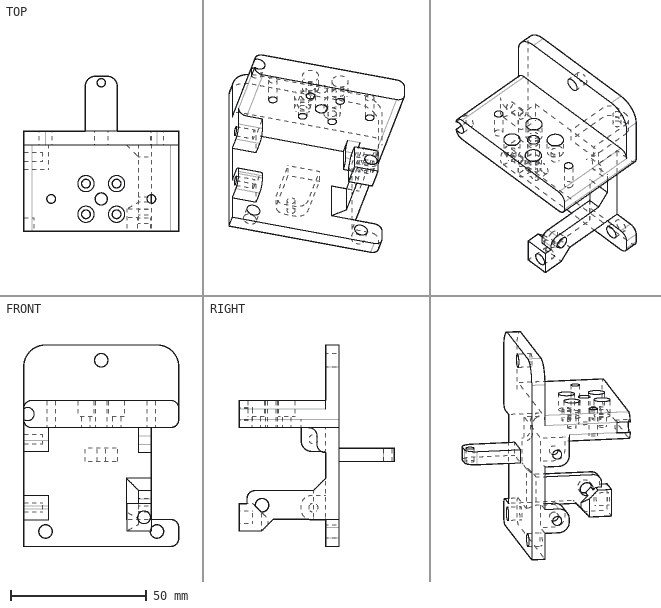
import cadquery as cq
import math


plate_width = 57.34
plate_height = 74.52
plate_thickness = 5.0
plate_front = -plate_thickness
plate_top_radius = 8.1
mount_hole_diameter = 4.9
mount_hole_inset = 8.1
mount_hole_height = 5.6
top_hole_drop = 5.7
center_x = plate_width / 2

neck_width = 47.2
foot_height = 10.1
edge_radius = 3.1

shelf_bottom = 43.9
shelf_thickness = 10.1
shelf_top = shelf_bottom + shelf_thickness
shelf_middle = shelf_bottom + shelf_thickness / 2
front_reach = 37.0
shelf_front = -front_reach
shelf_hole_front_distance = 12.0
shelf_hole_y = shelf_front + shelf_hole_front_distance
shelf_center_hole_diameter = 4.4
screw_circle_diameter = 16.0
screw_angle = math.radians(45)
screw_hole_diameter = 3.15
screw_head_diameter = 6.0
screw_head_depth = 6.0
side_hole_offset = 18.5
side_hole_diameter = 3.15

shelf_pocket_diameter = 4.9
shelf_pocket_x = 1.45
block_pocket_diameter = 4.7
block_pocket_edge_distance = 2.75
pocket_depth = 5.0

lug_size = 9.1
lug_reach = 9.1
lug_radius = 4.0
upper_lug_bottom = 35.1
lower_lug_bottom = 9.85
pin_hole_diameter = 3.35
pin_hole_depth = 7.0

arm_thickness = 4.75
arm_left = neck_width - arm_thickness
arm_bottom = foot_height
arm_top = 20.75
arm_front = -34.1
arm_hole_diameter = 4.9
arm_hole_y = -28.5
arm_hole_z = 15.3
gusset_size = 4.5

block_width = 9.1
block_length = 8.3
block_bottom = 5.75
block_top = 15.9
block_left = neck_width - block_width
block_back = shelf_front + block_length
block_top_length = 5.1
block_slope_top_y = shelf_front + block_top_length
block_taper_length = 2.45

stop_reach = 3.2
stop_bottom = 34.75
stop_radius = 3.0
quarter_arc_middle = math.radians(45)

tongue_width = 12.0
tongue_length = 20.4
tongue_thickness = 5.0
tongue_bottom = 31.4
tongue_radius = 4.0
tongue_hole_diameter = 3.0
tongue_hole_end_distance = 2.5


def box(x_low, x_high, y_low, y_high, z_low, z_high):
    """Box between the given limits."""
    size = (x_high - x_low, y_high - y_low, z_high - z_low)
    return cq.Workplane("XY").box(*size, centered=False).translate((x_low, y_low, z_low))


def cylinder(center, diameter, length, direction):
    """Cylinder of the given length that starts at center and runs along direction."""
    solid = cq.Solid.makeCylinder(diameter / 2, length, cq.Vector(*center), cq.Vector(*direction))
    return cq.Workplane(solid)


def side_profile(x_left):
    """Sketch plane parallel to YZ at x_left; local x is Y, local y is Z, extrusion runs toward +X."""
    return cq.Workplane("YZ", origin=(x_left, 0, 0))


def make_plate():
    """Plate of three stacked parts: full-width foot, narrower neck and full-width upper part."""
    foot = box(0, plate_width, plate_front, 0, 0, foot_height)
    foot = foot.edges("|Y and >X").fillet(edge_radius)
    neck = box(0, neck_width, plate_front, 0, foot_height, shelf_bottom)
    upper_part = box(0, plate_width, plate_front, 0, shelf_bottom, plate_height)
    upper_part = upper_part.edges("|Y and >X and <Z").fillet(edge_radius)
    upper_part = upper_part.edges("|Y and >Z").fillet(plate_top_radius)
    plate = foot.union(neck).union(upper_part)
    holes = (
        (mount_hole_inset, mount_hole_height),
        (plate_width - mount_hole_inset, mount_hole_height),
        (center_x, plate_height - top_hole_drop),
    )
    for x, z in holes:
        plate = plate.cut(cylinder((x, 0, z), mount_hole_diameter, plate_thickness, (0, -1, 0)))
    return plate


def make_shelf():
    shelf = box(0, plate_width, shelf_front, plate_front, shelf_bottom, shelf_top)
    return shelf.edges("|Y").fillet(edge_radius)


def cut_shelf_holes(body):
    """Center hole, two side holes and four counterbored screw holes, all drilled from the shelf's top."""
    def drill(target, x, y, diameter, depth):
        return target.cut(cylinder((x, y, shelf_top), diameter, depth, (0, 0, -1)))

    body = drill(body, center_x, shelf_hole_y, shelf_center_hole_diameter, shelf_thickness)
    for side in (-1, 1):
        x = center_x + side * side_hole_offset
        body = drill(body, x, shelf_hole_y, side_hole_diameter, shelf_thickness)
    screw_offset = screw_circle_diameter / 2 * math.cos(screw_angle)
    for x_side in (-1, 1):
        for y_side in (-1, 1):
            x = center_x + x_side * screw_offset
            y = shelf_hole_y + y_side * screw_offset
            body = drill(body, x, y, screw_hole_diameter, shelf_thickness)
            body = drill(body, x, y, screw_head_diameter, screw_head_depth)
    return body


def make_upper_lug():
    """Lug that hangs from the left end of the shelf, its side flush with the shelf's end face."""
    lug_front = plate_front - lug_reach
    lug_top = shelf_bottom + edge_radius
    lug = box(0, lug_size, lug_front, plate_front, upper_lug_bottom, lug_top)
    return lug.edges("|X and <Y and <Z").fillet(lug_radius)


def make_lower_lug():
    lug_front = plate_front - lug_reach
    lug = box(0, lug_size, lug_front, plate_front, lower_lug_bottom, lower_lug_bottom + lug_size)
    return lug.edges("|X and <Y").fillet(lug_radius)


def cut_pin_holes(body):
    for lug_bottom in (upper_lug_bottom, lower_lug_bottom):
        center = (0, plate_front - lug_reach / 2, lug_bottom + lug_size / 2)
        body = body.cut(cylinder(center, pin_hole_diameter, pin_hole_depth, (1, 0, 0)))
    return body


def make_stop():
    """Stop with a rounded lower edge and a hollow fillet up to the shelf."""
    stop_front = plate_front - stop_reach
    bend = stop_radius * math.cos(quarter_arc_middle)
    lower_center_y = stop_front + stop_radius
    lower_center_z = stop_bottom + stop_radius
    upper_center_y = stop_front - stop_radius
    upper_center_z = shelf_bottom - stop_radius
    profile = (
        side_profile(arm_left)
        .moveTo(plate_front, stop_bottom)
        .lineTo(lower_center_y, stop_bottom)
        .threePointArc((lower_center_y - bend, lower_center_z - bend), (stop_front, lower_center_z))
        .lineTo(stop_front, upper_center_z)
        .threePointArc((upper_center_y + bend, upper_center_z + bend), (upper_center_y, shelf_bottom))
        .lineTo(plate_front, shelf_bottom)
        .close()
    )
    return profile.extrude(arm_thickness)


def make_arm():
    arm = box(arm_left, neck_width, arm_front, plate_front, arm_bottom, arm_top)
    return arm.edges("|X and <Y and >Z").fillet(edge_radius)


def make_gusset():
    """Root of the arm, flaring at 45 degrees to the left and upward as it meets the plate."""
    gusset_left = arm_left - gusset_size
    flare_end = plate_front - gusset_size
    upper_flare = (
        side_profile(gusset_left)
        .polyline([
            (plate_front, arm_bottom),
            (flare_end, arm_bottom),
            (flare_end, arm_top),
            (plate_front, arm_top + gusset_size),
        ])
        .close()
        .extrude(neck_width - gusset_left)
    )
    left_flare = (
        cq.Workplane("XY", origin=(0, 0, arm_bottom))
        .polyline([
            (gusset_left, plate_front),
            (arm_left, flare_end),
            (neck_width, flare_end),
            (neck_width, plate_front),
        ])
        .close()
        .extrude(arm_top + gusset_size - arm_bottom)
    )
    return upper_flare.intersect(left_flare)


def make_block():
    """End block: 45 degree slopes above and below its back, and a taper from its left side to the arm."""
    slope_run = arm_bottom - block_bottom
    under_arm_y = block_back + slope_run
    upper_slope_run = block_top - arm_bottom
    upper_slope_end = block_slope_top_y + upper_slope_run
    profile = (
        side_profile(block_left)
        .polyline([
            (shelf_front, block_bottom),
            (block_back, block_bottom),
            (under_arm_y, arm_bottom),
            (upper_slope_end, arm_bottom),
            (block_slope_top_y, block_top),
            (shelf_front, block_top),
        ])
        .close()
        .extrude(block_width)
    )
    taper_end = block_back + block_taper_length
    footprint = (
        cq.Workplane("XY", origin=(0, 0, block_bottom))
        .polyline([
            (block_left, shelf_front),
            (neck_width, shelf_front),
            (neck_width, under_arm_y),
            (arm_left, under_arm_y),
            (arm_left, taper_end),
            (block_left, block_back),
        ])
        .close()
        .extrude(block_top - block_bottom)
    )
    return profile.intersect(footprint)


def cut_front_pockets(body):
    block_pocket_x = neck_width - block_pocket_edge_distance
    block_middle = (block_bottom + block_top) / 2
    pockets = (
        (shelf_pocket_x, shelf_middle, shelf_pocket_diameter),
        (block_pocket_x, block_middle, block_pocket_diameter),
    )
    for x, z, diameter in pockets:
        body = body.cut(cylinder((x, shelf_front, z), diameter, pocket_depth, (0, 1, 0)))
    return body


def cut_arm_hole(body):
    hole = cylinder((arm_left, arm_hole_y, arm_hole_z), arm_hole_diameter, arm_thickness, (1, 0, 0))
    return body.cut(hole)


def make_tongue():
    tongue_left = center_x - tongue_width / 2
    tongue_top = tongue_bottom + tongue_thickness
    tongue = box(tongue_left, tongue_left + tongue_width, 0, tongue_length, tongue_bottom, tongue_top)
    tongue = tongue.edges("|Z and >Y").fillet(tongue_radius)
    hole_center = (center_x, tongue_length - tongue_hole_end_distance, tongue_bottom)
    return tongue.cut(cylinder(hole_center, tongue_hole_diameter, tongue_thickness, (0, 0, 1)))


arm = cut_arm_hole(make_arm())

body = make_plate()
for feature in (make_shelf(), make_upper_lug(), make_lower_lug(), make_stop(),
                arm, make_gusset(), make_block(), make_tongue()):
    body = body.union(feature)

body = cut_shelf_holes(body)
body = cut_pin_holes(body)
result = cut_front_pockets(body)